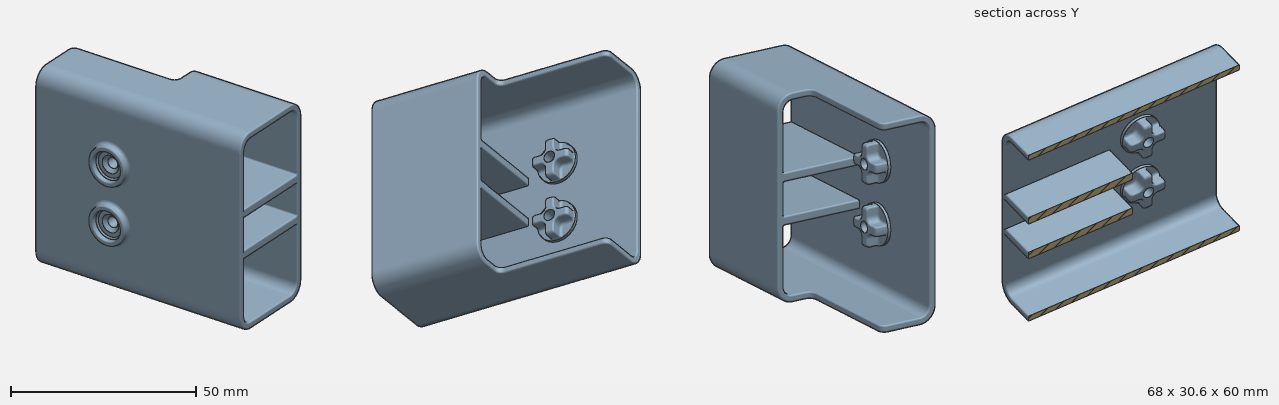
import cadquery as cq
import math

length = 68.0
depth = 28.5
height = 60.0
wall = 2.0
outer_radius = 5.0
inner_radius = outer_radius - wall
edge_round = 0.5

rib_thickness = 2.5
rib_gap = 10.0
rib_offset = (rib_gap + rib_thickness) / 2
rib_corner_radius = 0.5

notch_length = 34.35
flange_depth = 17.5
notch_corner_radius = 2.0

fitting_x = 25.0
fitting_spacing = 18.0
rim_radius = 6.0
rim_height = 2.05
rim_base_fillet = 1.0
recess_radius = 4.5
recess_round = 0.5
hole_radius = 1.6
countersink_radius = 2.7

collar_thickness = 0.95
knob_height = 4.7
knob_radius = 5.8
arm_width = 2.7
arm_root_radius = 1.85
knob_base_fillet = 0.8
tip_round = 1.0

overshoot = 0.35
tolerance = 0.01
axis_start = (0, 0, 0)
axis_end = (0, 1, 0)


def rounded_bar(size_y, size_z, radius):
    """Full-length bar along X with rounded long edges, centred on the tube axis."""
    bar = cq.Workplane("YZ", origin=(0, depth / 2, 0)).rect(size_y, size_z).extrude(length)
    return bar.edges("|X").fillet(radius)


def make_shelves():
    """Shelves across the inside of the tube, starting at the notch."""
    return (
        cq.Workplane("YZ", origin=(notch_length, depth / 2, 0))
        .pushPoints([(0, -rib_offset), (0, rib_offset)])
        .rect(depth - wall, rib_thickness)
        .extrude(length - notch_length)
    )


def make_notch():
    """Tool that cuts the notch: it rounds the flange tip and the inside corner."""
    r = notch_corner_radius
    return (
        cq.Workplane("XY", origin=(0, 0, -height))
        .moveTo(0, flange_depth - r)
        .radiusArc((r, flange_depth), r)
        .lineTo(notch_length - r, flange_depth)
        .radiusArc((notch_length, flange_depth + r), -r)
        .lineTo(notch_length, depth + overshoot)
        .lineTo(-overshoot, depth + overshoot)
        .lineTo(-overshoot, flange_depth - r)
        .close()
        .extrude(2 * height)
    )


def round_cut_edges(housing):
    """Round the inner and outer edges wherever the tube wall or a shelf ends."""
    wall_middle = (height - wall) / 2
    notch_region = cq.selectors.BoxSelector(
        (-overshoot, outer_radius + overshoot, -height), (notch_length + overshoot, depth + overshoot, height)
    )
    cut_edges = housing.faces("<X or >X").edges().add(housing.edges(notch_region))
    outline_edges = cut_edges.filter(lambda edge: abs(abs(edge.Center().z) - wall_middle) > tolerance)
    return outline_edges.fillet(edge_round)


def make_housing():
    outer = rounded_bar(depth, height, outer_radius)
    inner = rounded_bar(depth - 2 * wall, height - 2 * wall, inner_radius)
    housing = outer.cut(inner).union(make_shelves())
    shelf_back_corners = cq.selectors.BoxSelector(
        (notch_length, depth / 2, -height / 4), (length, depth - wall / 2, height / 4)
    )
    housing = housing.edges("|X").edges(shelf_back_corners).fillet(rib_corner_radius)
    return round_cut_edges(housing.cut(make_notch()))


def make_rim():
    """Turned rim with a flared base, rounded lips and a flat recess floor at y = 0."""
    lip = -rim_height
    half_section = (
        cq.Workplane("XY")
        .lineTo(recess_radius - recess_round, 0)
        .radiusArc((recess_radius, -recess_round), -recess_round)
        .lineTo(recess_radius, lip + recess_round)
        .radiusArc((recess_radius + recess_round, lip), -recess_round)
        .lineTo(rim_radius - recess_round, lip)
        .radiusArc((rim_radius, lip + recess_round), -recess_round)
        .lineTo(rim_radius, -rim_base_fillet)
        .radiusArc((rim_radius + rim_base_fillet, 0), rim_base_fillet)
        .lineTo(rim_radius + rim_base_fillet, wall / 2)
        .lineTo(0, wall / 2)
        .close()
    )
    return half_section.revolve(360, axis_start, axis_end)


def distance_from_axis(edge):
    return math.hypot(edge.Center().x, edge.Center().z)


def make_knob():
    """Round collar and the cross-shaped knob on it, behind the front wall."""
    collar_back = wall + collar_thickness
    knob_back = wall + knob_height
    arm_height = knob_height - collar_thickness

    base = cq.Workplane("XZ", origin=(0, knob_back, 0))
    cross = base.rect(2 * rim_radius, arm_width).extrude(arm_height)
    cross = cross.union(base.rect(arm_width, 2 * rim_radius).extrude(arm_height))
    rounded_disc = base.circle(knob_radius).extrude(arm_height).faces(">Y").edges().fillet(tip_round)
    cross = cross.intersect(rounded_disc)

    middle = knob_radius / 2
    cross = cross.edges("|Y").filter(lambda edge: distance_from_axis(edge) < middle).fillet(arm_root_radius)
    tip_start = knob_radius - edge_round
    cross = cross.edges("|Y").filter(lambda edge: distance_from_axis(edge) > tip_start).fillet(edge_round)

    collar = cq.Workplane("XZ", origin=(0, collar_back, 0)).circle(rim_radius)
    knob = cross.union(collar.extrude(collar_thickness + wall / 2))
    step_edges = cq.selectors.BoxSelector(
        (-rim_radius, collar_back - tolerance, -rim_radius), (rim_radius, collar_back + tolerance, rim_radius)
    )
    cross_outline = knob.edges(step_edges).filter(lambda edge: distance_from_axis(edge) > tolerance)
    return cross_outline.fillet(knob_base_fillet)


def make_hole():
    """Through hole with a 45 degree countersink in the recess floor."""
    countersink_depth = countersink_radius - hole_radius
    half_section = (
        cq.Workplane("XY")
        .lineTo(countersink_radius, 0)
        .lineTo(hole_radius, countersink_depth)
        .lineTo(hole_radius, wall + knob_height)
        .lineTo(0, wall + knob_height)
        .close()
    )
    return half_section.revolve(360, axis_start, axis_end)


result = make_housing()
fitting = make_rim().union(make_knob())
for side in (-1, 1):
    fitting_centre = (fitting_x, 0, side * fitting_spacing / 2)
    result = result.union(fitting.translate(fitting_centre))
    result = result.cut(make_hole().translate(fitting_centre))